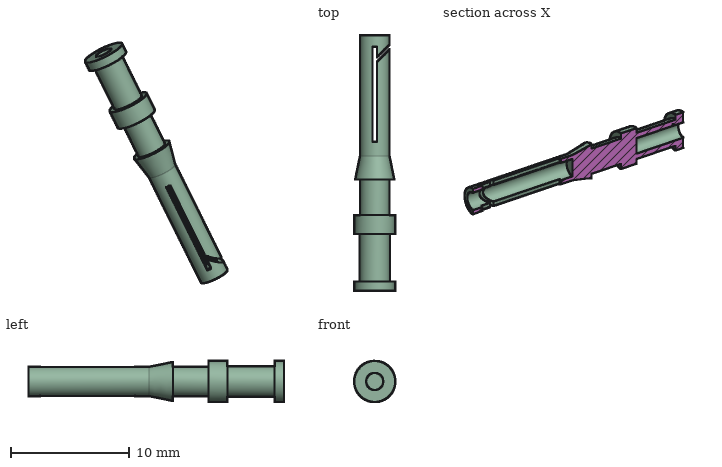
import cadquery as cq
import math

length = 21.6
flange_end = 0.8
collar_start = 4.8
collar_end = 6.4
cone_start = 9.4
cone_end = 11.4

flange_diameter = 3.5
barrel_diameter = 2.6
cone_diameter = 3.33
socket_diameter = 2.5

wire_bore_diameter = 1.45
wire_bore_depth = collar_start
socket_bore_diameter = 1.65
socket_bore_depth = length - cone_end

slot_start = 12.6
slot_end = 20.6
slot_width = 0.35
branch_width = 0.25
branch_angle = 45.0
branch_center_y = 19.35


def section(diameter, start, end):
    """Cylinder on the Y axis between two positions."""
    height = end - start
    return cq.Workplane("XZ", origin=(0, start, 0)).circle(diameter / 2).extrude(-height)


def cone():
    """Retaining cone, tapering down to the socket."""
    profile = [
        (0, cone_start),
        (cone_diameter / 2, cone_start),
        (socket_diameter / 2, cone_end),
        (0, cone_end),
    ]
    return cq.Workplane("XY").polyline(profile).close().revolve(360, (0, 0, 0), (0, 1, 0))


def straight_slot():
    """Lengthwise slot through both walls of the socket."""
    slot_length = slot_end - slot_start
    center_y = (slot_start + slot_end) / 2
    return cq.Workplane("XY").box(slot_width, slot_length, flange_diameter).translate((0, center_y, 0))


def branch_slot():
    """Oblique slot from the lengthwise slot out through the +X side."""
    reach = flange_diameter / 2 / math.cos(math.radians(branch_angle))
    return (
        cq.Workplane("XY")
        .box(reach, branch_width, flange_diameter)
        .translate((reach / 2, 0, 0))
        .rotate((0, 0, 0), (0, 0, 1), branch_angle)
        .translate((0, branch_center_y, 0))
    )


body = (
    section(barrel_diameter, 0, collar_start)
    .union(section(socket_diameter, collar_end, cone_start))
    .union(section(flange_diameter, 0, flange_end))
    .union(section(flange_diameter, collar_start, collar_end))
    .union(cone())
    .union(section(socket_diameter, cone_end, length))
)

result = (
    body
    .cut(section(wire_bore_diameter, 0, wire_bore_depth))
    .cut(section(socket_bore_diameter, length - socket_bore_depth, length))
    .cut(straight_slot())
    .cut(branch_slot())
)